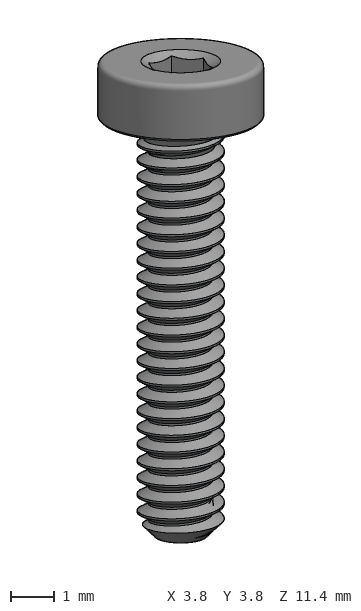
import cadquery as cq
import math

total_length = 11.35

head_diameter = 3.8
head_height = 1.35
head_top_fillet = 0.14
head_bottom_chamfer = 0.06

socket_across_flats = 1.3
socket_depth = 0.62
lead_in_diameter = 1.83
lead_in_half_angle = 60.0

shank_length = total_length - head_height
shank_radius = 1.0
thread_pitch = shank_length / 25
thread_half_angle = math.radians(30)
thread_flat = thread_pitch / 8
thread_depth = (thread_pitch - 2 * thread_flat) / 2 / math.tan(thread_half_angle)
root_radius = shank_radius - thread_depth
root_overlap = 0.01
crest_drop = 0.47
tip_radius = 0.6

neck_top_radius = 1.02
neck_length = 0.8


def make_head():
    head = cq.Workplane("XY").circle(head_diameter / 2).extrude(head_height)
    head = head.faces(">Z").edges().fillet(head_top_fillet)
    return head.faces("<Z").edges().chamfer(head_bottom_chamfer)


def make_socket():
    corner_diameter = socket_across_flats / math.cos(math.radians(30))
    hexagon = (
        cq.Workplane("XY", origin=(0, 0, head_height))
        .polygon(6, corner_diameter)
        .extrude(-socket_depth)
        .rotate((0, 0, 0), (0, 0, 1), 30)
    )
    lead_in_radius = lead_in_diameter / 2
    cone_end_radius = socket_across_flats / 2
    cone_depth = (lead_in_radius - cone_end_radius) / math.tan(math.radians(lead_in_half_angle))
    cone = cq.Solid.makeCone(
        lead_in_radius, cone_end_radius, cone_depth, cq.Vector(0, 0, head_height), cq.Vector(0, 0, -1)
    )
    return hexagon.union(cq.Workplane(cone))


def make_thread_ridge():
    turns = math.ceil(shank_length / thread_pitch) + 1
    start_z = -crest_drop + 2 * thread_pitch - turns * thread_pitch
    crest_half_width = thread_flat / 2
    base_radius = root_radius - root_overlap
    base_half_width = crest_half_width + (shank_radius - base_radius) * math.tan(thread_half_angle)
    corners = [
        (base_radius, -base_half_width),
        (shank_radius, -crest_half_width),
        (shank_radius, crest_half_width),
        (base_radius, base_half_width),
    ]
    helices = [
        cq.Wire.makeHelix(thread_pitch, turns * thread_pitch, radius, cq.Vector(0, 0, start_z + offset))
        for radius, offset in corners
    ]
    sides = [cq.Face.makeRuledSurface(helices[i - 1], helices[i]) for i in range(len(helices))]
    end_caps = [
        cq.Face.makeFromWires(cq.Wire.makePolygon(
            [cq.Vector(radius, 0, z + offset) for radius, offset in corners], close=True
        ))
        for z in (start_z, start_z + turns * thread_pitch)
    ]
    return cq.Workplane(cq.Solid.makeSolid(cq.Shell.makeShell(sides + end_caps)))


def make_tip_cutter():
    clearance = 2 * thread_pitch
    outer_radius = shank_radius + clearance
    tip_z = -shank_length
    return (
        cq.Workplane("XZ")
        .moveTo(0, tip_z)
        .lineTo(tip_radius, tip_z)
        .lineTo(outer_radius, tip_z + outer_radius - tip_radius)
        .lineTo(outer_radius, tip_z - clearance)
        .lineTo(0, tip_z - clearance)
        .close()
        .revolve()
    )


def make_shank():
    core = cq.Workplane("XY").circle(root_radius).extrude(-shank_length - thread_pitch)
    return core.union(make_thread_ridge()).cut(make_tip_cutter())


def make_neck():
    neck = cq.Solid.makeCone(
        neck_top_radius, root_radius, neck_length, cq.Vector(0, 0, 0), cq.Vector(0, 0, -1)
    )
    return cq.Workplane(neck)


result = make_head().union(make_neck()).union(make_shank()).cut(make_socket())